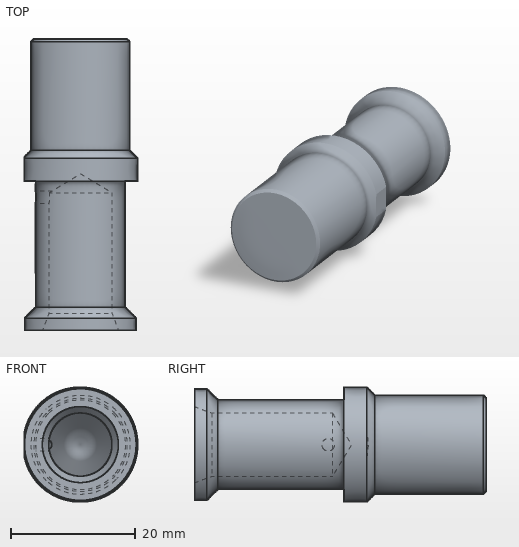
import cadquery as cq
import math

length = 47.0

flange_diameter = 18.0
neck_diameter = 14.48
collar_diameter = 18.5
shank_diameter = 16.0

flange_width = 1.97
collar_start = 24.05
collar_width = 3.65
end_chamfer = 0.45

mouth_diameter = 12.25
bore_diameter = 10.2
mouth_taper_depth = 2.75
bore_depth = 22.2
drill_point_angle = 118.0

vent_diameter = 2.0
vent_position = 21.5
flat_depth = 0.21

flange_radius = flange_diameter / 2
neck_radius = neck_diameter / 2
collar_radius = collar_diameter / 2
shank_radius = shank_diameter / 2
mouth_radius = mouth_diameter / 2
bore_radius = bore_diameter / 2

neck_start = flange_width + flange_radius - neck_radius
collar_edge = collar_start + collar_width
shank_start = collar_edge + collar_radius - shank_radius


def turned_body():
    """Solid outer shape revolved about the Y axis."""
    profile = [
        (0, 0),
        (flange_radius, 0),
        (flange_radius, flange_width),
        (neck_radius, neck_start),
        (neck_radius, collar_start),
        (collar_radius, collar_start),
        (collar_radius, collar_edge),
        (shank_radius, shank_start),
        (shank_radius, length - end_chamfer),
        (shank_radius - end_chamfer, length),
        (0, length),
    ]
    return cq.Workplane("XY").polyline(profile).close().revolve(360, (0, 0), (0, 1))


def blind_bore():
    """Cutter for the bore, its tapered mouth and its drill point."""
    point_length = bore_radius / math.tan(math.radians(drill_point_angle / 2))
    profile = [
        (0, 0),
        (mouth_radius, 0),
        (bore_radius, mouth_taper_depth),
        (bore_radius, bore_depth),
        (0, bore_depth + point_length),
    ]
    return cq.Workplane("XY").polyline(profile).close().revolve(360, (0, 0), (0, 1))


def vent_hole():
    """Cutter for the radial hole from the -X side into the bore."""
    return (
        cq.Workplane("YZ")
        .center(vent_position, 0)
        .circle(vent_diameter / 2)
        .extrude(-collar_radius)
    )


def collar_flat():
    """Cutter for the shallow flat on the -X side of the collar."""
    return (
        cq.Workplane("XY")
        .box(flat_depth, shank_start - collar_start, collar_diameter, centered=(False, False, True))
        .translate((-collar_radius, collar_start, 0))
    )


result = turned_body().cut(blind_bore()).cut(vent_hole()).cut(collar_flat())